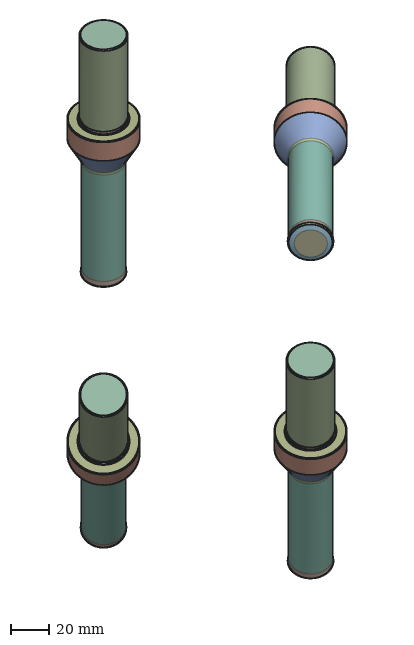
import cadquery as cq

total_height = 163.0
split_height = 93.0
flange_height = 13.0
undercut_height = 1.6

flange_radius = 19.0
flange_chamfer = 0.5
shank_radius = 12.7
shank_chamfer = 0.7
undercut_radius = 12.2
undercut_face_radius = 13.7
undercut_depth = 0.5

shaft_radius = 11.7
cone_bottom_radius = 12.0
cone_bottom_height = 79.4
blend_bottom_height = 77.5
blend_middle_radius = 11.79
blend_middle_height = 78.5
flare_top_height = 5.0
tip_radius = 12.0
tip_edge_height = 1.8
tip_bevel_radius = 11.4
tip_bevel_height = 0.8
tip_flat_radius = 8.6

flange_top = split_height + flange_height
shank_bottom = flange_top + undercut_height


def make_holder():
    """Plain shank above a flange, with a groove cut at the corner between them."""
    undercut_floor = flange_top - undercut_depth
    return (
        cq.Workplane("XZ")
        .moveTo(0, split_height)
        .lineTo(flange_radius, split_height)
        .lineTo(flange_radius, flange_top - flange_chamfer)
        .lineTo(flange_radius - flange_chamfer, flange_top)
        .lineTo(undercut_face_radius, flange_top)
        .lineTo(undercut_face_radius - undercut_depth, undercut_floor)
        .lineTo(undercut_radius, undercut_floor)
        .lineTo(undercut_radius, shank_bottom - (shank_radius - undercut_radius))
        .lineTo(shank_radius, shank_bottom)
        .lineTo(shank_radius, total_height - shank_chamfer)
        .lineTo(shank_radius - shank_chamfer, total_height)
        .lineTo(0, total_height)
        .close()
        .revolve(360, (0, 0, 0), (0, 1, 0))
    )


def make_stem():
    """Cone narrowing to a long shaft that flares slightly above a double-bevelled flat tip."""
    return (
        cq.Workplane("XZ")
        .lineTo(tip_flat_radius, 0)
        .lineTo(tip_bevel_radius, tip_bevel_height)
        .lineTo(tip_radius, tip_edge_height)
        .lineTo(shaft_radius, flare_top_height)
        .lineTo(shaft_radius, blend_bottom_height)
        .threePointArc(
            (blend_middle_radius, blend_middle_height),
            (cone_bottom_radius, cone_bottom_height),
        )
        .lineTo(flange_radius, split_height)
        .lineTo(0, split_height)
        .close()
        .revolve(360, (0, 0, 0), (0, 1, 0))
    )


holder = make_holder()
stem = make_stem()
result = cq.Compound.makeCompound([holder.val(), stem.val()])